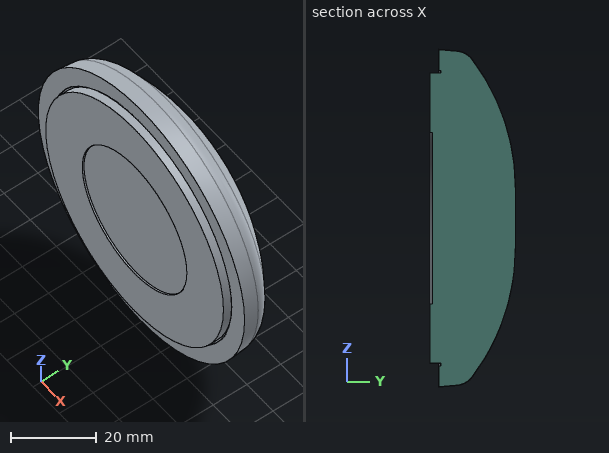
import cadquery as cq
import math

total_height = 20.0
rim_diameter = 79.0
spigot_diameter = 68.0
spigot_height = 2.0
groove_diameter = 69.0
groove_depth = 0.5
recess_diameter = 40.0
recess_depth = 0.5
crown_flat_diameter = 14.0
dome_radius = 50.0
rim_taper = math.radians(5.0)
shoulder_radius = 5.0

base_y = -total_height / 2
seat_y = base_y + spigot_height
crown_y = base_y + total_height

rim_radius = rim_diameter / 2
crown_flat_radius = crown_flat_diameter / 2


def dome_point(angle):
    """Point of the dome arc, with the angle measured from the crown toward the rim."""
    centre_y = crown_y - dome_radius
    return (
        crown_flat_radius + dome_radius * math.sin(angle),
        centre_y + dome_radius * math.cos(angle),
    )


def shoulder_centre():
    """Centre of the shoulder arc that is tangent to both the tapered rim and the dome."""
    offset_x = rim_radius - crown_flat_radius
    offset_y = seat_y - (crown_y - dome_radius)
    rim_distance = offset_x * math.cos(rim_taper) + offset_y * math.sin(rim_taper)

    normal_part = rim_distance - shoulder_radius
    centre_distance = dome_radius - shoulder_radius
    angle_from_normal = math.acos(normal_part / centre_distance)
    dome_angle = math.pi / 2 - rim_taper - angle_from_normal
    centre = (
        crown_flat_radius + centre_distance * math.sin(dome_angle),
        crown_y - dome_radius + centre_distance * math.cos(dome_angle),
    )
    return centre, dome_angle


def make_body():
    """Domed body, revolved from its half profile."""
    (centre_x, centre_y), dome_end_angle = shoulder_centre()

    def shoulder_point(angle):
        """Point of the shoulder arc, with the angle measured from +Y toward the rim."""
        return (
            centre_x + shoulder_radius * math.sin(angle),
            centre_y + shoulder_radius * math.cos(angle),
        )

    rim_end_angle = math.pi / 2 - rim_taper
    shoulder_middle_angle = (rim_end_angle + dome_end_angle) / 2
    profile = (
        cq.Workplane("XY")
        .moveTo(0, seat_y)
        .lineTo(rim_radius, seat_y)
        .lineTo(*shoulder_point(rim_end_angle))
        .threePointArc(shoulder_point(shoulder_middle_angle), dome_point(dome_end_angle))
        .threePointArc(dome_point(dome_end_angle / 2), (crown_flat_radius, crown_y))
        .lineTo(0, crown_y)
        .close()
    )
    return profile.revolve(360, (0, 0, 0), (0, 1, 0))


def disc(diameter, start_y, height):
    """Disc on the Y axis that extends from start_y toward +Y."""
    return cq.Workplane("XZ", origin=(0, start_y, 0)).circle(diameter / 2).extrude(-height)


def make_groove():
    """Narrow ring cut into the seat face around the spigot."""
    ring = disc(groove_diameter, seat_y, groove_depth)
    return ring.cut(disc(spigot_diameter, seat_y, groove_depth))


spigot = disc(spigot_diameter, base_y, spigot_height)
recess = disc(recess_diameter, base_y, recess_depth)

result = make_body().union(spigot).cut(make_groove()).cut(recess)